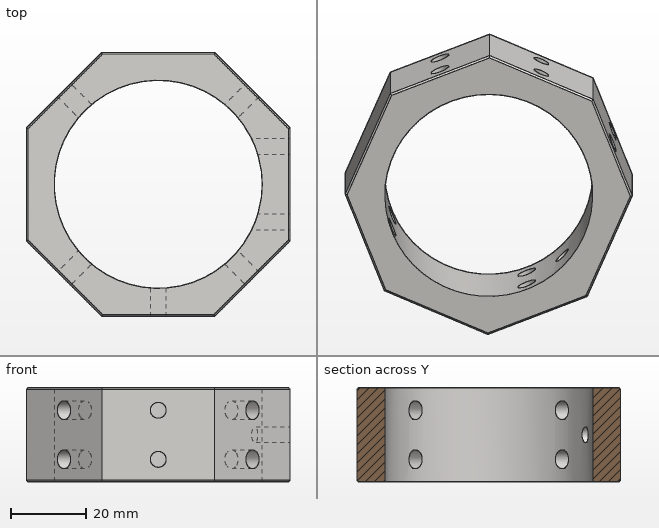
import cadquery as cq
import math

width = 70.0
height = 25.0
corner_cut = 20.0
bore_diameter = 55.1
edge_chamfer = 0.5

diagonal_hole_diameter = 5.0
side_hole_diameter = 4.2
hole_pair_spacing = 13.0
x_hole_spacing = 20.0

hole_length = width


def ring_body():
    outer = (
        cq.Workplane("XY")
        .box(width, width, height)
        .edges("|Z")
        .chamfer(corner_cut)
        .faces("<Z or >Z")
        .edges()
        .chamfer(edge_chamfer)
    )
    bore = cq.Workplane("XY").cylinder(height, bore_diameter / 2)
    return outer.cut(bore)


def outward_holes(angle, diameter, positions):
    """Holes through one wall; positions are (sideways, vertical) offsets on it."""
    direction = math.radians(angle)
    outward = (math.cos(direction), math.sin(direction), 0)
    sideways = (-math.sin(direction), math.cos(direction), 0)
    wall_plane = cq.Plane(origin=(0, 0, 0), xDir=sideways, normal=outward)
    return cq.Workplane(wall_plane).pushPoints(positions).circle(diameter / 2).extrude(hole_length)


vertical_pair = [(0, -hole_pair_spacing / 2), (0, hole_pair_spacing / 2)]
horizontal_pair = [(-x_hole_spacing / 2, 0), (x_hole_spacing / 2, 0)]

result = ring_body()

for angle in (45, 135, 225, 315):
    result = result.cut(outward_holes(angle, diagonal_hole_diameter, vertical_pair))

result = result.cut(outward_holes(270, side_hole_diameter, vertical_pair))

result = result.cut(outward_holes(0, side_hole_diameter, horizontal_pair))